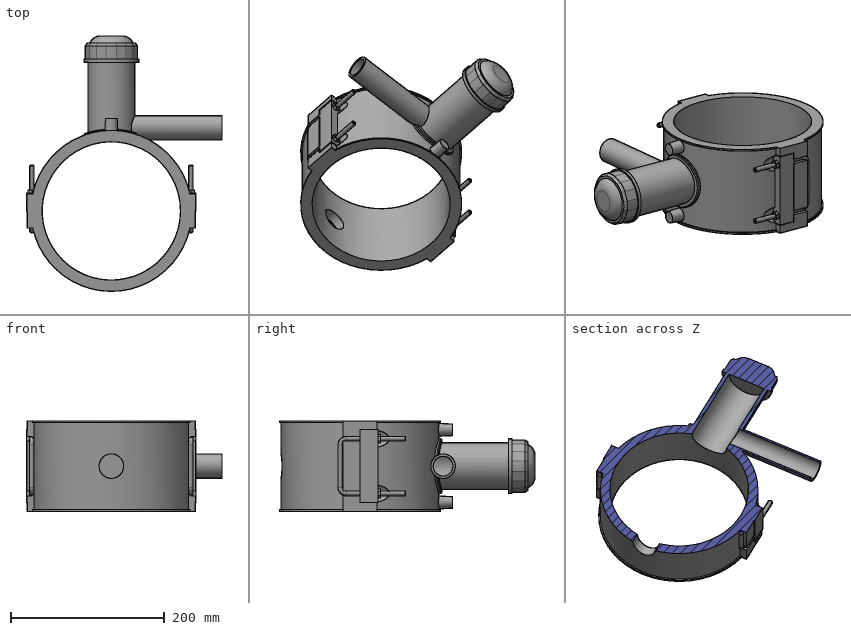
import cadquery as cq
import math

ring_height = 118.0
bore_radius = 89.8
lip_radius = 104.8
lip_thickness = 2.3
body_radius = 102.8
wall_hole_diameter = 32.0

lug_reach = 109.5
lug_depth = 22.3
plate_thickness = 1.0
plate_height = 95.0

bolt_diameter = 6.0
bolt_x = 103.5
bolt_z = 35.5
bolt_tip_y = 59.5
bolt_bar_y = -25.5
bolt_bend_radius = 8.0
bolt_tip_chamfer = 1.0
nut_sides = 6
nut_width = 10.0
nut_height = 3.5
recess_diameter = 30.0
recess_length = 26.5

tube_diameter = 61.2
tube_bore = 50.5
saddle_diameter = 72.0
saddle_radius = 106.5
saddle_chamfer = 1.3
branch_diameter = 32.0
branch_bore = 25.5
branch_y = 108.0
branch_end_x = 144.0

cap_start_y = 193.3
cap_end_y = 228.0
cap_flange_diameter = 72.0
cap_flange_thickness = 4.3
grip_flats = 8
grip_diameter = 68.5
grip_length = 21.0
grip_chamfer_length = 4.0
grip_chamfer_depth = 2.5
dome_base_radius = 28.3
dome_flat_radius = 14.0

peg_z = 47.2
peg_tip_y = 120.5
peg_tip_radius = 7.5
peg_base_radius = 8.5
peg_base_y = 101.5


def cylinder_z(radius, height):
    """Cylinder on the Z axis, centred on z = 0."""
    return cq.Workplane("XY").circle(radius).extrude(height / 2, both=True)


def cylinder_y(diameter, start_y, end_y, x=0, z=0):
    """Cylinder parallel to Y between two y positions."""
    plane = cq.Workplane("XZ", origin=(x, start_y, z))
    return plane.circle(diameter / 2).extrude(start_y - end_y)


def flat_sided(plane, sides, width_across_flats):
    """Regular outline with an even number of sides and one flat facing the local +X."""
    half_side_angle = 180 / sides
    corner_diameter = width_across_flats / math.cos(math.radians(half_side_angle))
    return plane.transformed(rotate=(0, 0, half_side_angle)).polygon(sides, corner_diameter)


def box_between(x_range, y_range, height):
    """Box over the given x and y ranges, centred on z = 0."""
    width = x_range[1] - x_range[0]
    depth = y_range[1] - y_range[0]
    box = cq.Workplane("XY").box(width, depth, height, centered=(False, False, True))
    return box.translate((x_range[0], y_range[0], 0))


def make_ring():
    """Ring body with a thin lip at each end, not yet bored."""
    ring = cylinder_z(body_radius, ring_height)
    lip_z = (ring_height - lip_thickness) / 2
    for z in (-lip_z, lip_z):
        ring = ring.union(cylinder_z(lip_radius, lip_thickness).translate((0, 0, z)))
    return ring


def make_lug():
    """Lug pair on the +X side, with its cover plate and bolt grooves."""
    inner_x = (bore_radius + body_radius) / 2
    lug = box_between((inner_x, lug_reach), (-lug_depth, lug_depth), ring_height)
    plate_reach = lug_reach + plate_thickness
    plate = box_between((inner_x, plate_reach), (0, lug_depth + plate_thickness), plate_height)
    lug = lug.union(plate)
    groove = box_between((bolt_x, lug_reach), (-lug_depth, 0), bolt_diameter)
    for z in (-bolt_z, bolt_z):
        lug = lug.cut(groove.translate((0, 0, z)))
    return lug


def make_nut_recess(z):
    """Round clearance cut into the ring wall above one nut on the +X side."""
    start_y = lug_depth + plate_thickness
    plate_face_x = lug_reach + plate_thickness
    return cylinder_y(recess_diameter, start_y, start_y + recess_length, plate_face_x, z)


def make_bolt():
    """U-bolt on the +X side with a nut on each leg."""
    bar_half = bolt_z - bolt_bend_radius
    leg_end_y = bolt_bar_y + bolt_bend_radius
    bend_offset = bolt_bend_radius * (1 - math.sqrt(0.5))
    bend_mid_y = bolt_bar_y + bend_offset
    bend_mid_z = bolt_z - bend_offset
    path = (
        cq.Workplane("YZ", origin=(bolt_x, 0, 0))
        .moveTo(bolt_tip_y, bolt_z)
        .lineTo(leg_end_y, bolt_z)
        .threePointArc((bend_mid_y, bend_mid_z), (bolt_bar_y, bar_half))
        .lineTo(bolt_bar_y, -bar_half)
        .threePointArc((bend_mid_y, -bend_mid_z), (leg_end_y, -bolt_z))
        .lineTo(bolt_tip_y, -bolt_z)
    )
    profile = cq.Workplane("XZ", origin=(bolt_x, bolt_tip_y, bolt_z)).circle(bolt_diameter / 2)
    bolt = profile.sweep(path).faces(">Y").edges().chamfer(bolt_tip_chamfer)
    nut_y = lug_depth + plate_thickness
    for z in (-bolt_z, bolt_z):
        plane = cq.Workplane("XZ", origin=(bolt_x, nut_y, z))
        nut = flat_sided(plane, nut_sides, nut_width).extrude(-nut_height)
        bolt = bolt.union(nut)
    return bolt


def make_grip_section(start_y, length, narrowing):
    """Length of the grip, flats alternating with round stretches, its radius shrinking by narrowing."""
    flat_span = 180 / grip_flats
    flat_ratio = math.cos(math.radians(flat_span / 2))
    round_taper = math.degrees(math.atan(narrowing / length))
    flat_taper = math.degrees(math.atan(narrowing * flat_ratio / length))
    plane = cq.Workplane("XZ", origin=(0, start_y, 0))
    round_part = plane.circle(grip_diameter / 2).extrude(-length, taper=round_taper)
    turned_plane = plane.transformed(rotate=(0, 0, flat_span))
    flats = flat_sided(turned_plane, grip_flats, grip_diameter * flat_ratio)
    return round_part.intersect(flats.extrude(-length, taper=flat_taper))


def make_cap():
    """Cap with a flange, a grip of alternating flats and round stretches, and a domed end."""
    grip_y = cap_start_y + cap_flange_thickness
    dome_y = grip_y + grip_length
    flange = cylinder_y(cap_flange_diameter, cap_start_y, grip_y)
    straight_length = grip_length - grip_chamfer_length
    grip = make_grip_section(grip_y, straight_length, 0)
    grip = grip.union(make_grip_section(grip_y + straight_length, grip_chamfer_length, grip_chamfer_depth))
    dome = (
        cq.Workplane("XY")
        .moveTo(0, cap_end_y)
        .lineTo(dome_flat_radius, cap_end_y)
        .tangentArcPoint((dome_base_radius, dome_y), relative=False)
        .lineTo(0, dome_y)
        .close()
        .revolve(360, (0, 0, 0), (0, 1, 0))
    )
    return flange.union(grip).union(dome)


def make_peg(z):
    """Peg that narrows toward its tip."""
    return (
        cq.Workplane("XY")
        .moveTo(0, peg_base_y)
        .lineTo(peg_base_radius, peg_base_y)
        .lineTo(peg_tip_radius, peg_tip_y)
        .lineTo(0, peg_tip_y)
        .close()
        .revolve(360, (0, 0, 0), (0, 1, 0))
        .translate((0, 0, z))
    )


def make_branch(diameter):
    """Cylinder from the tube axis out to the branch end."""
    plane = cq.Workplane("YZ", origin=(0, branch_y, 0))
    return plane.circle(diameter / 2).extrude(branch_end_x)


def both_sides(shape):
    """The shape together with its mirror image on the -X side."""
    return shape.union(shape.mirror("YZ"))


result = make_ring().union(both_sides(make_lug()))
for z in (-bolt_z, bolt_z):
    result = result.cut(both_sides(make_nut_recess(z)))

saddle = cylinder_y(saddle_diameter, 0, saddle_radius)
saddle = saddle.intersect(cylinder_z(saddle_radius, ring_height))
saddle = saddle.edges(">Y").chamfer(saddle_chamfer)
result = result.union(saddle)
result = result.union(cylinder_y(tube_diameter, 0, cap_start_y))
result = result.union(make_branch(branch_diameter))
result = result.union(make_cap())
for z in (-peg_z, peg_z):
    result = result.union(make_peg(z))

result = result.cut(cylinder_z(bore_radius, ring_height))
result = result.cut(cylinder_y(tube_bore, 0, cap_start_y))
result = result.cut(make_branch(branch_bore))
result = result.cut(cylinder_y(wall_hole_diameter, -lip_radius, 0))

result = result.union(both_sides(make_bolt()))